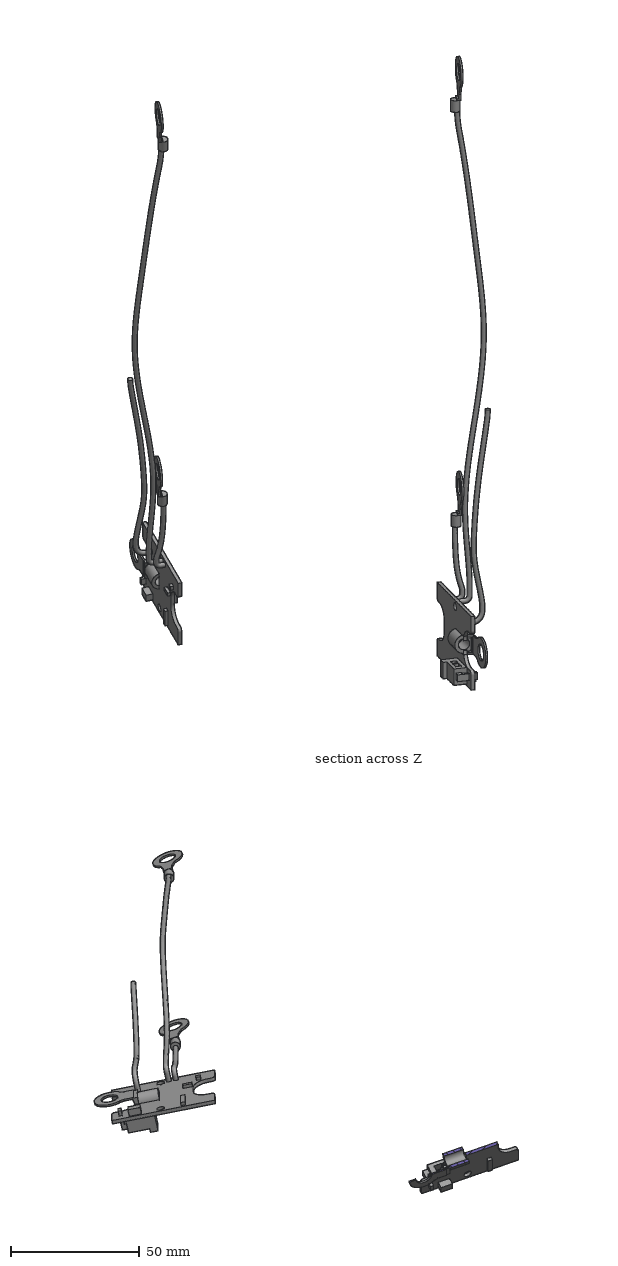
import cadquery as cq
import math


BOARD_WIDTH = 41.0
BOARD_HEIGHT = 30.5
BOARD_THICKNESS = 1.5
BOARD_LEFT = -BOARD_WIDTH / 2
BOARD_RIGHT = BOARD_WIDTH / 2
NOTCH_HEIGHT = 15.3
NOTCH_RADIUS = 5.5
NOTCH_LIP_RADIUS = 1.5
LEFT_NOTCH_FLOOR = -11.2
RIGHT_NOTCH_FLOOR = 12.0
HOLE_DIAMETER = 3.0
HOLE_X = -1.0
HOLE_Z = 12.7

COMPONENTS = [
    (13.2, 15.0, 8.1, 10.0, 1.3),
    (8.0, 11.7, 2.8, 4.3, 1.3),
    (7.1, 9.0, -14.0, -7.0, 1.3),
    (-13.5, -8.7, -14.5, -11.5, 2.8),
]

RING_DIAMETER = 12.2
RING_RADIUS = RING_DIAMETER / 2
RING_HOLE_DIAMETER = 6.5
PLATE_THICKNESS = 0.8

OVERALL_HEIGHT = 254.5
TOP_RING_Z = OVERALL_HEIGHT - BOARD_HEIGHT / 2 - RING_RADIUS
LOW_RING_Z = 59.8
COLLAR_DIAMETER = 3.8
COLLAR_LENGTH = 4.8
COLLAR_TOP_DROP = 11.2
SHOULDER_HEIGHT = 0.8
SHOULDER_DEPTH = 1.5
COLLAR_END_DROP = COLLAR_TOP_DROP + COLLAR_LENGTH
NECK_WIDTH = 3.5
NECK_TOP_WIDTH = 6.0
NECK_TOP_DROP = 5.0
NECK_END_DROP = 8.7
LUG_TWIST = -8
TOP_COLLAR_Y = 0.3
LOW_COLLAR_Y = -1.0

TUBE_RADIUS = 3.8
TUBE_BORE_RADIUS = 2.3
TUBE_LEFT = -9.7
TUBE_RIGHT = -1.5
TUBE_Y = BOARD_THICKNESS / 2
BOARD_LUG_RING_X = -20.75
BOARD_LUG_NECK_X = -15.0
BOARD_LUG_Y = TUBE_Y - TUBE_RADIUS
CHANNEL_LEFT = LEFT_NOTCH_FLOOR
CHANNEL_SETBACK = 0.3
CHANNEL_Y = BOARD_LUG_Y + CHANNEL_SETBACK
CHANNEL_FLOOR_Y = CHANNEL_Y + PLATE_THICKNESS
WING_LEFT = -12.0
WALL_TOP_Y = 0

WIRE_DIAMETER = 2.0
LONG_WIRE_X = 2.3
SHORT_WIRE_X = 5.0
LOOSE_WIRE_X = -10.0
LOOSE_WIRE_TOP = 96.5
UPPER_SOLDER_Z = 13.2
LOWER_SOLDER_Z = 8.7
TIGHT_BEND = 2.0
WIDE_BEND = 4.3

HOUSING_LEFT = -15.3
HOUSING_RIGHT = -7.0
HOUSING_BACK = 7.0
CONNECTOR_BOTTOM = -14.5
CONNECTOR_TOP = -7.6
KEY_RIGHT = -3.8
KEY_BACK = 8.5
POCKETS = [(-13.0, -10.0), (-9.2, HOUSING_RIGHT)]
POCKET_FRONT = 3.0
POCKET_BACK = 5.3
POCKET_DEPTH = 3.8
PIN_LEFT = -17.5
PIN_RIGHT = -16.3
PIN_BOTTOM = -12.2
PIN_TOP = -9.5
PIN_TIP = -2.0
PIN_ARM_FRONT = 3.8
PIN_ARM_BACK = 6.0


def block(left, right, front, back, bottom, top):
    """Box given by its six sides."""
    size = (right - left, back - front, top - bottom)
    return cq.Workplane("XY").box(*size, centered=False).translate((left, front, bottom))


def front_plane(y):
    """XZ workplane at the given Y; its normal is -Y, so a negative extrusion goes backward."""
    return cq.Workplane("XZ", origin=(0, y, 0))


def notch(edge, floor):
    """Cutter for a side notch, rounded at its inside corners and at the board edge."""
    depth = abs(edge - floor)
    outward = math.copysign(1, edge - floor)
    half = NOTCH_HEIGHT / 2
    lip = NOTCH_LIP_RADIUS
    inner_x = floor + outward * NOTCH_RADIUS
    lip_x = floor + outward * (depth - lip)
    slant = math.sqrt(0.5)
    corner_x = inner_x - outward * NOTCH_RADIUS * slant
    corner_z = half - NOTCH_RADIUS * (1 - slant)
    lip_mid_x = lip_x + outward * lip * slant
    lip_mid_z = half + lip * (1 - slant)
    plane = front_plane(0)
    return (
        plane.moveTo(edge, half + lip)
        .threePointArc((lip_mid_x, lip_mid_z), (lip_x, half))
        .lineTo(inner_x, half)
        .threePointArc((corner_x, corner_z), (floor, half - NOTCH_RADIUS))
        .lineTo(floor, NOTCH_RADIUS - half)
        .threePointArc((corner_x, -corner_z), (inner_x, -half))
        .lineTo(lip_x, -half)
        .threePointArc((lip_mid_x, -lip_mid_z), (edge, -half - lip))
        .close()
        .extrude(-BOARD_THICKNESS)
    )


def make_board():
    half_height = BOARD_HEIGHT / 2
    board = block(BOARD_LEFT, BOARD_RIGHT, 0, BOARD_THICKNESS, -half_height, half_height)
    board = board.cut(notch(BOARD_LEFT, LEFT_NOTCH_FLOOR))
    board = board.cut(notch(BOARD_RIGHT, RIGHT_NOTCH_FLOOR))

    board = board.cut(
        block(LEFT_NOTCH_FLOOR, TUBE_RIGHT, 0, BOARD_THICKNESS, -TUBE_RADIUS, TUBE_RADIUS)
    )

    plane = front_plane(0)
    holes = plane.pushPoints([(HOLE_X, HOLE_Z), (HOLE_X, -HOLE_Z)]).circle(HOLE_DIAMETER / 2)
    board = board.cut(holes.extrude(-BOARD_THICKNESS))
    board = board.cut(block(PIN_LEFT, PIN_RIGHT, 0, BOARD_THICKNESS, PIN_BOTTOM, PIN_TOP))

    for left, right, bottom, top, height in COMPONENTS:
        board = board.union(block(left, right, -height, 0, bottom, top))
    return board


def make_cable_lug(x, collar_y, ring_z):
    """Ring, tapered neck, thick shoulder and round collar, turned a little about the collar axis."""
    collar_radius = COLLAR_DIAMETER / 2
    plane = front_plane(-collar_radius)
    ring = plane.circle(RING_RADIUS).extrude(-PLATE_THICKNESS)
    neck = (
        plane.moveTo(-NECK_TOP_WIDTH / 2, 0)
        .lineTo(NECK_TOP_WIDTH / 2, 0)
        .lineTo(NECK_TOP_WIDTH / 2, -NECK_TOP_DROP)
        .lineTo(NECK_WIDTH / 2, -NECK_END_DROP)
        .lineTo(NECK_WIDTH / 2, -COLLAR_TOP_DROP)
        .lineTo(-NECK_WIDTH / 2, -COLLAR_TOP_DROP)
        .lineTo(-NECK_WIDTH / 2, -NECK_END_DROP)
        .lineTo(-NECK_TOP_WIDTH / 2, -NECK_TOP_DROP)
        .close()
        .extrude(-PLATE_THICKNESS)
    )
    hole = plane.circle(RING_HOLE_DIAMETER / 2).extrude(-PLATE_THICKNESS)
    collar = (
        cq.Workplane("XY", origin=(0, 0, -COLLAR_END_DROP))
        .circle(collar_radius)
        .extrude(COLLAR_LENGTH)
    )
    shoulder = block(
        -NECK_WIDTH / 2,
        NECK_WIDTH / 2,
        -collar_radius,
        SHOULDER_DEPTH - collar_radius,
        -COLLAR_TOP_DROP,
        SHOULDER_HEIGHT - COLLAR_TOP_DROP,
    )
    lug = ring.union(neck).cut(hole).union(shoulder).union(collar)
    lug = lug.rotate((0, 0, 0), (0, 0, 1), LUG_TWIST)
    return lug.translate((x, collar_y, ring_z))


def make_board_lug():
    """Ring plate joined by a short channel to a tube along X."""
    plane = front_plane(BOARD_LUG_Y)
    ring = plane.center(BOARD_LUG_RING_X, 0).circle(RING_RADIUS).extrude(-PLATE_THICKNESS)
    neck = (
        plane.moveTo(BOARD_LUG_RING_X, -RING_RADIUS)
        .lineTo(BOARD_LUG_NECK_X, -TUBE_RADIUS)
        .lineTo(CHANNEL_LEFT, -TUBE_RADIUS)
        .lineTo(CHANNEL_LEFT, TUBE_RADIUS)
        .lineTo(BOARD_LUG_NECK_X, TUBE_RADIUS)
        .lineTo(BOARD_LUG_RING_X, RING_RADIUS)
        .close()
        .extrude(-PLATE_THICKNESS)
    )
    hole = plane.center(BOARD_LUG_RING_X, 0).circle(RING_HOLE_DIAMETER / 2).extrude(-PLATE_THICKNESS)
    tube = (
        cq.Workplane("YZ", origin=(TUBE_LEFT, TUBE_Y, 0))
        .circle(TUBE_RADIUS)
        .circle(TUBE_BORE_RADIUS)
        .extrude(TUBE_RIGHT - TUBE_LEFT)
    )
    lug = ring.union(neck).cut(hole).union(tube)

    lug = lug.union(
        block(CHANNEL_LEFT, TUBE_LEFT, CHANNEL_Y, CHANNEL_FLOOR_Y, -TUBE_RADIUS, TUBE_RADIUS)
    )
    for bottom in (-TUBE_RADIUS, TUBE_RADIUS - PLATE_THICKNESS):
        wall = (
            cq.Workplane("XY", origin=(0, 0, bottom))
            .moveTo(WING_LEFT, BOARD_LUG_Y)
            .lineTo(CHANNEL_LEFT, BOARD_LUG_Y)
            .lineTo(CHANNEL_LEFT, CHANNEL_Y)
            .lineTo(TUBE_LEFT, CHANNEL_Y)
            .lineTo(TUBE_LEFT, WALL_TOP_Y)
            .lineTo(CHANNEL_LEFT, WALL_TOP_Y)
            .close()
            .extrude(PLATE_THICKNESS)
        )
        lug = lug.union(wall)
    return lug


def make_wire(x, course, solder_z, bend_radius):
    """Round wire along a smooth (Y, Z) course, bent at its lower end to meet the board."""
    low_y = course[-1][0]
    slant = bend_radius * math.sqrt(0.5)
    bend_y = low_y + bend_radius
    bend_z = solder_z + bend_radius
    path = (
        cq.Workplane("YZ", origin=(x, 0, 0))
        .spline(course + [(low_y, bend_z)], tangents=[(0, -1), (0, -1)])
        .threePointArc((bend_y - slant, bend_z - slant), (bend_y, solder_z))
        .lineTo(0, solder_z)
    )
    top_y, top_z = course[0]
    return (
        cq.Workplane("XY", origin=(x, top_y, top_z)).circle(WIRE_DIAMETER / 2).sweep(path)
    )


def make_long_wire():
    course = [
        (-0.5, TOP_RING_Z - COLLAR_END_DROP),
        (-1.8, 206.2),
        (-9.0, 154.0),
        (-11.5, 123.2),
        (-8.1, 90.6),
        (-4.5, 66.2),
        (-3.8, 46.8),
        (-5.5, 20.4),
    ]
    return make_wire(LONG_WIRE_X, course, UPPER_SOLDER_Z, TIGHT_BEND)


def make_short_wire():
    course = [
        (-0.5, LOW_RING_Z - COLLAR_END_DROP),
        (-0.8, 33.0),
        (-2.8, 19.5),
        (-3.5, 16.5),
    ]
    return make_wire(SHORT_WIRE_X, course, UPPER_SOLDER_Z, TIGHT_BEND)


def make_loose_wire():
    course = [
        (-9.0, LOOSE_WIRE_TOP),
        (-8.5, 90.6),
        (-5.0, 67.5),
        (-3.3, 46.8),
        (-3.3, 35.5),
        (-5.0, 24.7),
        (-6.4, 17.8),
        (-6.5, 15.8),
    ]
    return make_wire(LOOSE_WIRE_X, course, LOWER_SOLDER_Z, WIDE_BEND)


def make_connector():
    face = BOARD_THICKNESS
    housing = block(
        HOUSING_LEFT, HOUSING_RIGHT, face, HOUSING_BACK, CONNECTOR_BOTTOM, CONNECTOR_TOP
    )
    floor = CONNECTOR_TOP - POCKET_DEPTH
    for left, right in POCKETS:
        pocket = block(left, right, POCKET_FRONT, POCKET_BACK, floor, CONNECTOR_TOP)
        housing = housing.cut(pocket)
    key = block(HOUSING_RIGHT, KEY_RIGHT, face, KEY_BACK, CONNECTOR_BOTTOM, CONNECTOR_TOP)
    pin = block(PIN_LEFT, PIN_RIGHT, PIN_TIP, PIN_ARM_BACK, PIN_BOTTOM, PIN_TOP)
    arm = block(PIN_RIGHT, HOUSING_LEFT, PIN_ARM_FRONT, PIN_ARM_BACK, PIN_BOTTOM, PIN_TOP)
    return housing.union(key).union(arm).union(pin)


board = make_board()
top_lug = make_cable_lug(LONG_WIRE_X, TOP_COLLAR_Y, TOP_RING_Z)
low_lug = make_cable_lug(SHORT_WIRE_X, LOW_COLLAR_Y, LOW_RING_Z)
board_lug = make_board_lug()
long_wire = make_long_wire()
short_wire = make_short_wire()
loose_wire = make_loose_wire()
connector = make_connector()

bodies = [board, top_lug, low_lug, board_lug, long_wire, short_wire, loose_wire, connector]
result = cq.Compound.makeCompound([body.solids().val() for body in bodies])